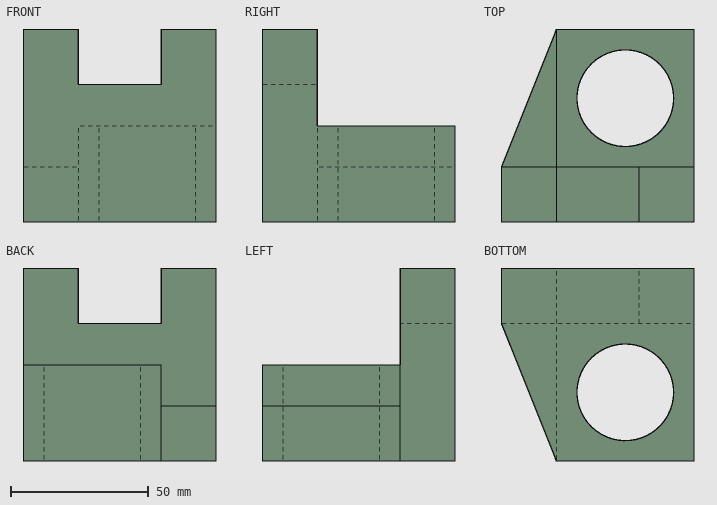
import cadquery as cq

plate_width = 70.0
plate_thickness = 20.0
plate_height = 70.0

notch_width = 30.0
notch_depth = 20.0

block_side = 50.0
block_height = 35.0
bore_diameter = 35.0

gusset_height = 20.0

block_left = plate_width - block_side
block_back = plate_thickness + block_side
block_center_x = block_left + block_side / 2
block_center_y = plate_thickness + block_side / 2


def corner_box(x, y, z, width, depth, height):
    """Box whose left, front, bottom corner is at (x, y, z)."""
    return cq.Workplane("XY").box(width, depth, height, centered=False).translate((x, y, z))


def make_plate():
    """Upright plate with a rectangular notch centred in its top edge."""
    plate = corner_box(0, 0, 0, plate_width, plate_thickness, plate_height)
    notch_left = (plate_width - notch_width) / 2
    notch_floor = plate_height - notch_depth
    notch = corner_box(notch_left, 0, notch_floor, notch_width, plate_thickness, notch_depth)
    return plate.cut(notch)


def make_block():
    """Square block with a vertical through bore at its centre."""
    block = corner_box(block_left, plate_thickness, 0, block_side, block_side, block_height)
    bore = (
        cq.Workplane("XY")
        .center(block_center_x, block_center_y)
        .circle(bore_diameter / 2)
        .extrude(block_height)
    )
    return block.cut(bore)


def make_gusset():
    """Triangular gusset tapering from the plate's left end to the block's back corner."""
    return (
        cq.Workplane("XY")
        .moveTo(0, plate_thickness)
        .lineTo(block_left, plate_thickness)
        .lineTo(block_left, block_back)
        .close()
        .extrude(gusset_height)
    )


result = make_plate().union(make_block()).union(make_gusset())